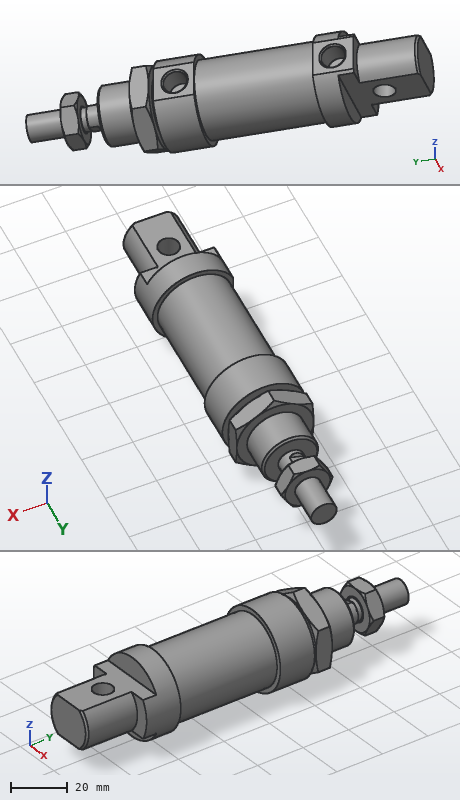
import cadquery as cq
import math


lug_end = 22.2
rear_flat_end = 28.0
rear_cap_end = 37.2
front_cap_start = 81.0
front_cap_end = 96.0
collar_end = 118.1
neck_start = 123.8
rod_tip = 146.0

cap_diameter = 33.0
tube_diameter = 29.0
collar_diameter = 22.0
edge_chamfer = 0.8
port_face_x = -15.0
lug_thickness = 16.2
pin_hole_diameter = 8.0
pin_hole_y = 15.2
port_diameter = 8.8
port_mouth_diameter = 10.0
port_depth = 8.8
port_positions = (30.0, 88.2)

rod_diameter = 10.0
neck_diameter = 8.8
wrench_flat_width = 8.0
wrench_flat_start = 120.6
wrench_flat_tilt = 17.0

mount_nut_start = 97.8
mount_nut_thickness = 7.2
mount_nut_flats = 30.0
mount_nut_chamfer = 1.0
rod_nut_start = 126.0
rod_nut_thickness = 6.3
rod_nut_flats = 17.5
rod_nut_chamfer = 0.7


def cylinder(diameter, start, end):
    """Solid cylinder on the Y axis between two stations."""
    profile = cq.Workplane("XZ", origin=(0, start, 0)).circle(diameter / 2)
    return profile.extrude(start - end)


def cone(start_radius, end_radius, length, base, direction):
    """Conical frustum that starts at base and runs along direction."""
    return cq.Workplane(obj=cq.Solid.makeCone(
        start_radius, end_radius, length, cq.Vector(*base), cq.Vector(*direction)))


def make_port(y):
    """Blind port with a 45 degree countersunk mouth, entering from the flat face."""
    base = (port_face_x, y, 0)
    bore = cq.Workplane("YZ", origin=base).circle(port_diameter / 2).extrude(port_depth)
    mouth_depth = (port_mouth_diameter - port_diameter) / 2
    mouth = cone(port_mouth_diameter / 2, port_diameter / 2, mouth_depth, base, (1, 0, 0))
    return bore.union(mouth)


def make_housing():
    """End caps, tube, rear lug and front mounting collar."""
    caps = cylinder(cap_diameter, lug_end, rear_cap_end)
    caps = caps.union(cylinder(cap_diameter, front_cap_start, front_cap_end))

    milled_side = cq.Workplane("XY").box(
        cap_diameter, rod_tip, cap_diameter, centered=(False, False, True)
    ).translate((port_face_x - cap_diameter, 0, 0))
    caps = caps.cut(milled_side)

    lug = cylinder(collar_diameter, 0, lug_end).faces("<Y").chamfer(edge_chamfer)
    tube = cylinder(tube_diameter, rear_cap_end, front_cap_start)
    collar = cylinder(collar_diameter, front_cap_end, collar_end).faces(">Y").chamfer(edge_chamfer)
    body = caps.union(tube).union(lug).union(collar)

    for side in (-1, 1):
        flat = cq.Workplane("XY").box(
            2 * cap_diameter, rear_flat_end, cap_diameter, centered=(True, False, True)
        ).translate((0, 0, side * (lug_thickness + cap_diameter) / 2))
        body = body.cut(flat)

    pin_hole = cq.Workplane("XY").center(0, pin_hole_y).circle(pin_hole_diameter / 2)
    body = body.cut(pin_hole.extrude(lug_thickness, both=True))
    for y in port_positions:
        body = body.cut(make_port(y))
    return body


def make_piston_rod():
    """Rod standing on the collar face, with a neck, a threaded end and two wrench flats."""
    shank = cylinder(rod_diameter, collar_end, neck_start)

    flat_height = wrench_flat_width / 2
    flat_relief = rod_diameter - flat_height
    flat_cut = (
        cq.Workplane("YZ")
        .moveTo(wrench_flat_start, flat_height)
        .lineTo(neck_start, flat_height)
        .lineTo(neck_start, rod_diameter)
        .lineTo(wrench_flat_start - flat_relief, rod_diameter)
        .close()
        .extrude(rod_diameter, both=True)
    )
    for turn in (0, 180):
        shank = shank.cut(flat_cut.rotate((0, 0, 0), (0, 1, 0), turn - wrench_flat_tilt))

    neck = cylinder(neck_diameter, neck_start, rod_nut_start)
    thread = cylinder(rod_diameter, rod_nut_start, rod_tip)
    return shank.union(neck).union(thread)


def make_nut(start, thickness, flats, bore, chamfer, corner_angle):
    """Hex nut on the Y axis, its corners bevelled to the across-flats circle at both ends."""
    corner_radius = flats / math.sqrt(3)
    end_radius = flats / 2
    end = start + thickness
    hexagon = cq.Workplane("XZ", origin=(0, start, 0)).polygon(6, 2 * corner_radius)
    nut = hexagon.extrude(-thickness).rotate((0, 0, 0), (0, 1, 0), corner_angle)

    envelope = (
        cq.Workplane("XY")
        .moveTo(0, start)
        .lineTo(end_radius, start)
        .lineTo(corner_radius, start + chamfer)
        .lineTo(corner_radius, end - chamfer)
        .lineTo(end_radius, end)
        .lineTo(0, end)
        .close()
        .revolve(360, (0, 0, 0), (0, 1, 0))
    )
    return nut.intersect(envelope).cut(cylinder(bore, start, end))


housing = make_housing()
piston_rod = make_piston_rod()
mount_nut = make_nut(
    mount_nut_start, mount_nut_thickness, mount_nut_flats, collar_diameter, mount_nut_chamfer, 90)
rod_nut = make_nut(
    rod_nut_start, rod_nut_thickness, rod_nut_flats, rod_diameter, rod_nut_chamfer, 0)

result = cq.Compound.makeCompound(
    [housing.val(), piston_rod.val(), mount_nut.val(), rod_nut.val()])